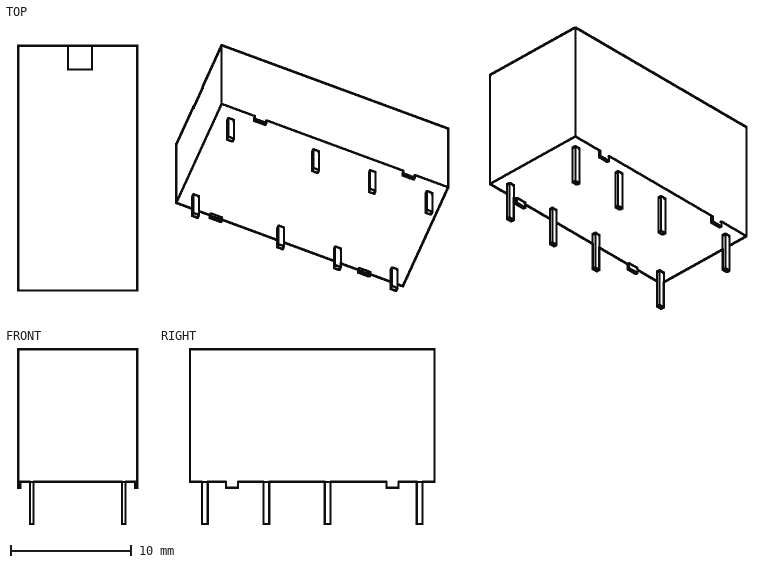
import cadquery as cq

BODY_WIDTH = 9.9
BODY_LENGTH = 20.3
BODY_HEIGHT = 11.0

NOTCH_SIZE = 2.0
NOTCH_DEPTH = 0.2
NOTCH_OFFSET_X = 0.2

FOOT_THICKNESS = 0.2
FOOT_LENGTH = 1.0
FOOT_HEIGHT = 0.5
FOOT_SPACING = 13.3

GRID = 2.54
PIN_THICKNESS = 0.3
PIN_WIDTH = 0.5
PIN_LENGTH = 3.5
ROW_SPACING = 3 * GRID
PIN_ROW_SPAN = 7 * GRID
PIN_STEPS_FROM_NOTCH_END = (0, 3, 5, 7)


def make_body():
    return cq.Workplane("XY").box(BODY_WIDTH, BODY_LENGTH, BODY_HEIGHT, centered=(True, True, False))


def make_notch():
    center_y = (BODY_LENGTH - NOTCH_SIZE) / 2
    floor_z = BODY_HEIGHT - NOTCH_DEPTH
    return (
        cq.Workplane("XY", origin=(NOTCH_OFFSET_X, center_y, floor_z))
        .box(NOTCH_SIZE, NOTCH_SIZE, NOTCH_DEPTH, centered=(True, True, False))
    )


def make_legs(points, size_x, size_y, length):
    """Rectangular posts hanging from the underside of the housing."""
    return cq.Workplane("XY").pushPoints(points).rect(size_x, size_y).extrude(-length)


def foot_points():
    x = (BODY_WIDTH - FOOT_THICKNESS) / 2
    y = FOOT_SPACING / 2
    return [(side * x, end * y) for side in (-1, 1) for end in (-1, 1)]


def pin_points():
    x = ROW_SPACING / 2
    first_y = PIN_ROW_SPAN / 2
    return [(side * x, first_y - step * GRID) for side in (-1, 1) for step in PIN_STEPS_FROM_NOTCH_END]


feet = make_legs(foot_points(), FOOT_THICKNESS, FOOT_LENGTH, FOOT_HEIGHT)
pins = make_legs(pin_points(), PIN_THICKNESS, PIN_WIDTH, PIN_LENGTH)

result = make_body().cut(make_notch()).union(feet).union(pins)